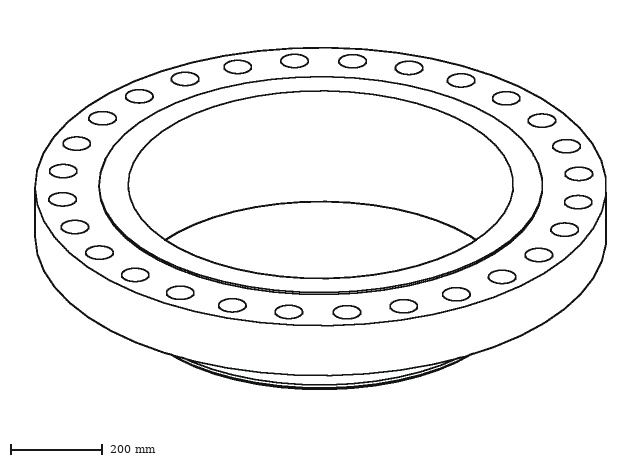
import cadquery as cq

flange_diameter = 1245.0
flange_thickness = 125.0
bore_diameter = 839.0

face_diameter = 966.0
face_height = 5.0

total_height = 276.0
hub_diameter = 973.0
neck_diameter = 864.0
neck_length = 17.0
bevel_height = 10.0
bevel_width = 11.0
root_fillet = 16.0

bolt_count = 28
bolt_circle_diameter = 1130.0
bolt_hole_diameter = 60.0

flange_top = total_height - face_height
flange_bottom = flange_top - flange_thickness


def revolved_body():
    """Solid of revolution, before the root fillet and the bolt holes."""
    bore_radius = bore_diameter / 2
    neck_radius = neck_diameter / 2
    hub_radius = hub_diameter / 2
    flange_radius = flange_diameter / 2
    face_radius = face_diameter / 2
    profile = [
        (bore_radius, 0),
        (neck_radius - bevel_width, 0),
        (neck_radius, bevel_height),
        (neck_radius, neck_length),
        (hub_radius, flange_bottom),
        (flange_radius, flange_bottom),
        (flange_radius, flange_top),
        (face_radius, flange_top),
        (face_radius, total_height),
        (bore_radius, total_height),
    ]
    return cq.Workplane("XZ").polyline(profile).close().revolve(360, (0, 0), (0, 1))


def fillet_hub_root(body):
    """Round the inner corner where the hub meets the underside of the flange."""
    reach = hub_diameter / 2 + root_fillet
    margin = root_fillet / 2
    root = cq.selectors.BoxSelector(
        (-reach, -reach, flange_bottom - margin),
        (reach, reach, flange_bottom + margin),
        boundingbox=True,
    )
    corner = cq.selectors.RadiusNthSelector(-1)
    return body.edges(root).edges("%CIRCLE").edges(corner).fillet(root_fillet)


def bolt_holes():
    """Cutters for the bolt circle, with one hole on each of the X and Y axes."""
    return (
        cq.Workplane("XY")
        .workplane(offset=flange_bottom)
        .polarArray(bolt_circle_diameter / 2, 0, 360, bolt_count)
        .circle(bolt_hole_diameter / 2)
        .extrude(flange_thickness)
    )


result = fillet_hub_root(revolved_body()).cut(bolt_holes())